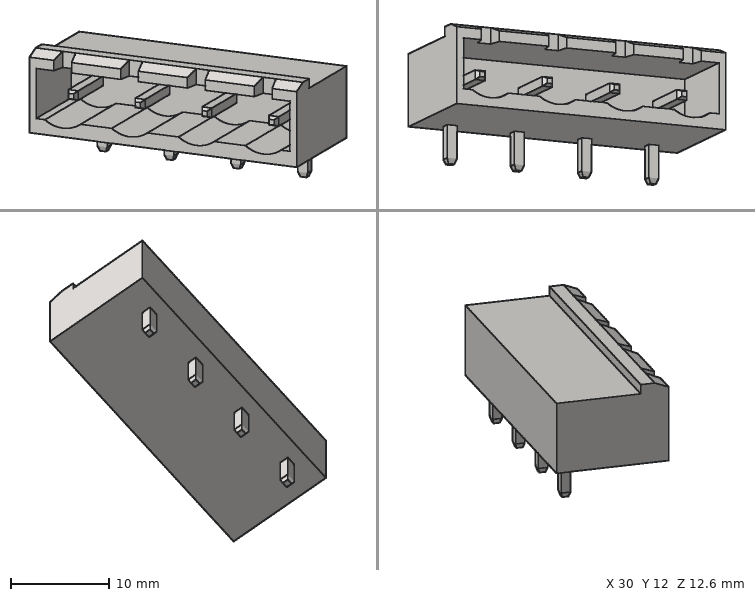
import cadquery as cq

pole_count = 4
pitch = 7.5
housing_length = pole_count * pitch
housing_depth = 12.0
housing_height = 7.6

lip_height = 1.0
lip_depth = 3.0
lip_slope_depth = 1.5
lip_slope_drop = 0.6
lip_top = housing_height + lip_height

end_wall = 0.75
cavity_floor = 1.6
cavity_ceiling = 6.9
cavity_depth = 8.5

groove_width = 4.0
groove_sag = 0.65

notch_front_width = 2.0
notch_back_width = 1.45
notch_depth = 1.5

pin_width = 1.1
pin_thickness = 1.0
contact_height = 3.8
contact_tip_setback = 2.0
contact_tip_size = 0.55
solder_leg_from_back = 2.05
solder_leg_length = 4.0
solder_tip_size = 0.65
taper_length = 0.55

solder_leg_y = housing_depth - solder_leg_from_back
pole_positions = [(i - (pole_count - 1) / 2) * pitch for i in range(pole_count)]


def make_housing():
    """Side profile of the housing and its lip, extruded along the length."""
    profile = [
        (0, 0),
        (housing_depth, 0),
        (housing_depth, housing_height),
        (lip_depth, housing_height),
        (lip_depth, lip_top),
        (lip_slope_depth, lip_top),
        (0, lip_top - lip_slope_drop),
    ]
    return cq.Workplane("YZ").polyline(profile).close().extrude(housing_length / 2, both=True)


def make_cavity():
    """Rectangular plug cavity with one groove per pole along its floor."""
    half_length = housing_length / 2 - end_wall
    outline = cq.Workplane("XZ").moveTo(-half_length, cavity_ceiling).lineTo(-half_length, cavity_floor)
    for x in pole_positions:
        outline = (
            outline.lineTo(x - groove_width / 2, cavity_floor)
            .threePointArc((x, cavity_floor - groove_sag), (x + groove_width / 2, cavity_floor))
        )
    outline = outline.lineTo(half_length, cavity_floor).lineTo(half_length, cavity_ceiling).close()
    return outline.extrude(-cavity_depth)


def make_notch(x):
    """Tapered notch from the cavity ceiling up through the lip."""
    return (
        cq.Workplane("XY", origin=(x, 0, cavity_ceiling))
        .polyline([
            (-notch_front_width / 2, 0),
            (notch_front_width / 2, 0),
            (notch_back_width / 2, notch_depth),
            (-notch_back_width / 2, notch_depth),
        ])
        .close()
        .extrude(lip_top - cavity_ceiling)
    )


def make_leg(plane, length, tip_size):
    """Straight leg along the plane normal, ending in a tapered square tip."""
    shank_length = length - taper_length
    shank = cq.Workplane(plane).rect(pin_width, pin_thickness).extrude(shank_length)
    tip = (
        cq.Workplane(plane)
        .workplane(offset=shank_length)
        .rect(pin_width, pin_thickness)
        .workplane(offset=taper_length)
        .rect(tip_size, tip_size)
        .loft(combine=True)
    )
    return shank.union(tip)


def make_pin(x):
    """Contact leg and solder leg meeting inside the rear wall."""
    bend = (x, solder_leg_y, contact_height)
    contact_start_y = solder_leg_y + pin_thickness / 2
    contact_start = (x, contact_start_y, contact_height)
    contact_plane = cq.Plane(origin=contact_start, xDir=(1, 0, 0), normal=(0, -1, 0))
    solder_plane = cq.Plane(origin=bend, xDir=(1, 0, 0), normal=(0, 0, -1))
    contact = make_leg(contact_plane, contact_start_y - contact_tip_setback, contact_tip_size)
    solder = make_leg(solder_plane, contact_height + solder_leg_length, solder_tip_size)
    return contact.union(solder)


result = make_housing().cut(make_cavity())
for pole_x in pole_positions:
    result = result.cut(make_notch(pole_x))
    result = result.union(make_pin(pole_x))